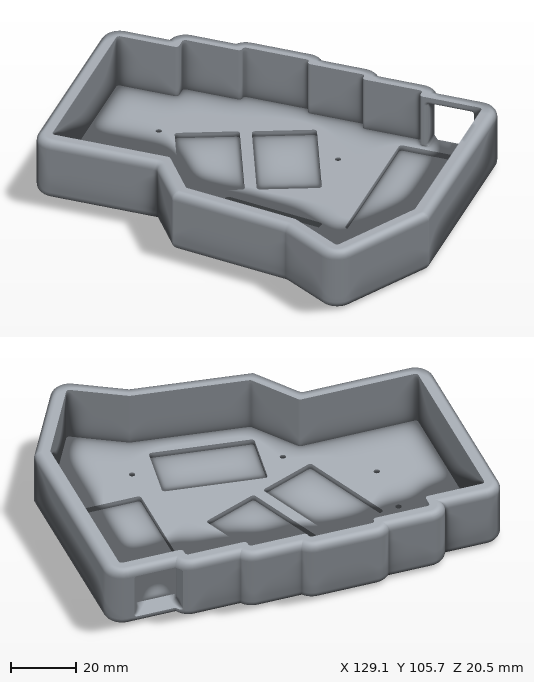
import cadquery as cq
import math

width = 129.1
height = 20.5
wall = 4.9
floor = 2.6

corner_radius = 6.1
small_radius = 1.0
rim_radius = 2.5

left_block_back = 69.3
ring_back = 74.1
middle_back = 76.3
index_back = 74.1
inner_back = 71.5
right_block_back = 68.4

back_steps = [
    (25.8, left_block_back, ring_back),
    (44.7, ring_back, middle_back),
    (63.9, middle_back, index_back),
    (82.7, index_back, inner_back),
    (102.5, inner_back, right_block_back),
]

front_left_corner = (0, 0)
back_left_corner = (0, left_block_back)
back_right_corner = (width, right_block_back)
right_corner = (width, 1.3)
thumb_tip = (110.4, -31.6)
thumb_middle = (90.0, -19.9)
thumb_left = (51.2, -14.3)
notch_corner = (40.9, 0)
front_corners = [right_corner, thumb_tip, thumb_middle, thumb_left, notch_corner]

hole_diameter = 2.0
hole_centers = [(25.7, 44.1), (25.7, 25.0), (50.1, 8.0), (82.9, 47.6), (96.5, 0.3)]

pocket_depth = 2.0
small_pocket = (20.0, 33.2)
large_pocket = (24.3, 50.3)
pockets = [
    (small_pocket, (46.2, 33.2), 22.5),
    (small_pocket, (68.1, 42.1), 22.5),
    (small_pocket, (73.0, 4.1), 82.0),
    (large_pocket, (110.1, 36.5), 0),
]

window_width = 15.1
window_height = 15.5
window_corner_radius = 0.8
window_center_x = 113.6

pick_margin = 0.1


def add_step_arc(outline, center_x, before, after):
    """Run the outline along the back to a step and over the visible part of its corner arc."""
    rising = after > before
    side = -1 if rising else 1
    top = max(before, after)
    center_y = top - corner_radius
    arc_angle = math.acos((min(before, after) - center_y) / corner_radius)

    def on_arc(angle):
        x = center_x + side * corner_radius * math.sin(angle)
        return x, center_y + corner_radius * math.cos(angle)

    start, end = (arc_angle, 0) if rising else (0, arc_angle)
    return outline.lineTo(*on_arc(start)).threePointArc(on_arc(arc_angle / 2), on_arc(end))


def round_verticals(body, points, radius):
    """Round the vertical edges of body that stand on the given points."""
    for x, y in points:
        low = (x - pick_margin, y - pick_margin, 0)
        high = (x + pick_margin, y + pick_margin, height)
        body = body.edges(cq.selectors.BoxSelector(low, high)).edges("|Z").fillet(radius)
    return body


def make_block():
    """Solid block with the stepped outline and rounded edges."""
    outline = cq.Workplane("XY").moveTo(*front_left_corner).lineTo(*back_left_corner)
    for step in back_steps:
        outline = add_step_arc(outline, *step)
    for point in [back_right_corner] + front_corners:
        outline = outline.lineTo(*point)
    block = outline.close().extrude(height)

    large_corners = [front_left_corner, back_left_corner, back_right_corner, thumb_tip]
    block = round_verticals(block, large_corners, corner_radius)
    block = round_verticals(block, [right_corner, thumb_middle, thumb_left, notch_corner], small_radius)
    return block.faces("<Z or >Z").edges().fillet(rim_radius)


def inset(points, distance):
    """Move every side of a clockwise polygon inwards by distance and return its new corners."""
    normals = []
    for (x0, y0), (x1, y1) in zip(points, points[1:] + points[:1]):
        length = math.hypot(x1 - x0, y1 - y0)
        normals.append(((y1 - y0) / length, (x0 - x1) / length))
    moved = []
    for (x, y), (ax, ay), (bx, by) in zip(points, normals[-1:] + normals[:-1], normals):
        reach = distance / (1 + ax * bx + ay * by)
        moved.append((x + reach * (ax + bx), y + reach * (ay + by)))
    return moved


def make_cavity():
    """Inside of the tray: the outline with square steps, moved inwards by the wall."""
    points = [front_left_corner, back_left_corner]
    for center_x, before, after in back_steps:
        step_x = center_x - corner_radius if after > before else center_x + corner_radius
        points += [(step_x, before), (step_x, after)]
    points += [back_right_corner] + front_corners
    cavity = cq.Workplane("XY").workplane(offset=floor).polyline(inset(points, wall)).close()
    return cavity.extrude(height - floor).edges("|Z").fillet(small_radius)


def make_pocket(size, center, turn):
    """Shallow rounded rectangle sunk into the floor, turned about Z."""
    pocket = cq.Workplane("XY").box(*size, 2 * pocket_depth).edges("|Z").fillet(small_radius)
    return pocket.rotate((0, 0, 0), (0, 0, 1), turn).translate((*center, floor))


def cut_window(body):
    """Cut a rounded opening in the back wall, level with the floor, and flare its inner edge."""
    inner_y = right_block_back - wall
    opening = cq.Workplane("XY").box(window_width, 2 * wall, window_height)
    opening = opening.edges("|Y").fillet(window_corner_radius)
    opening = opening.translate((window_center_x, right_block_back, floor + window_height / 2))
    body = body.cut(opening)

    reach_x = window_width / 2 + pick_margin
    low = (window_center_x - reach_x, inner_y - pick_margin, floor + window_corner_radius)
    high = (window_center_x + reach_x, inner_y + pick_margin, floor + window_height + pick_margin)
    return body.edges(cq.selectors.BoxSelector(low, high)).fillet(small_radius)


result = make_block().cut(make_cavity())
result = cut_window(result)
for size, center, turn in pockets:
    result = result.cut(make_pocket(size, center, turn))
holes = cq.Workplane("XY").pushPoints(hole_centers).circle(hole_diameter / 2).extrude(floor)
result = result.cut(holes)